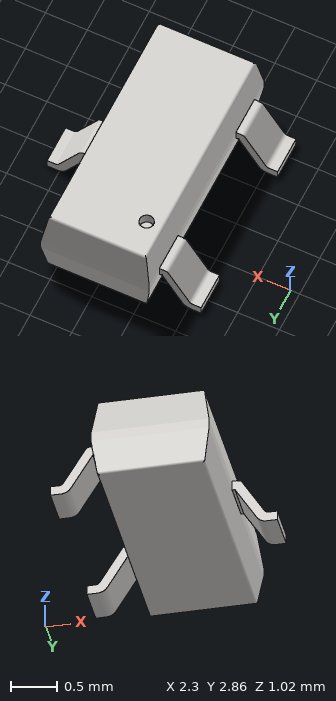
import cadquery as cq
import math

BODY_WIDTH = 1.3
BODY_LENGTH = 2.86
BODY_BOTTOM = 0.065
BODY_TOP = 1.02
UPPER_DRAFT = 8.5
LOWER_DRAFT = 8.8
TOP_FILLET = 0.035
BOTTOM_FILLET = 0.025

MARK_DIAMETER = 0.163
MARK_DEPTH = 0.143
MARK_X = -0.39

LEAD_SPAN = 2.3
LEAD_WIDTH = 0.46
LEAD_THICKNESS = 0.115
LEAD_TOP = 0.575
LEAD_OFFSET = 0.95
LEAD_SLOPE = 59.0
SHOULDER_LENGTH = 0.031
SHOULDER_RADIUS = 0.051
FOOT_INNER_RADIUS = 0.055
FOOT_OUTER_RADIUS = 0.13

BAND_TOP = LEAD_TOP
BAND_BOTTOM = LEAD_TOP - LEAD_THICKNESS


def body_rectangle(z):
    return cq.Workplane("XY", origin=(0, 0, z)).rect(BODY_WIDTH, BODY_LENGTH)


def make_body():
    """Band with tapered upper and lower halves, rounded rims and a blind pin 1 mark."""
    band = body_rectangle(BAND_BOTTOM).extrude(BAND_TOP - BAND_BOTTOM)
    upper = body_rectangle(BAND_TOP).extrude(BODY_TOP - BAND_TOP, taper=UPPER_DRAFT)
    lower = body_rectangle(BAND_BOTTOM).extrude(BODY_BOTTOM - BAND_BOTTOM, taper=LOWER_DRAFT)
    upper = upper.faces(">Z").edges().fillet(TOP_FILLET)
    lower = lower.faces("<Z").edges().fillet(BOTTOM_FILLET)
    mark = (
        cq.Workplane("XY", origin=(MARK_X, LEAD_OFFSET, BODY_TOP - MARK_DEPTH))
        .circle(MARK_DIAMETER / 2)
        .extrude(MARK_DEPTH)
    )
    return band.union(upper).union(lower).cut(mark)


def make_lead(y_center, angle):
    """Gull-wing lead pointing along +X, turned about Z by angle, then moved to y_center."""
    root_x = BODY_WIDTH / 2
    tip_x = LEAD_SPAN / 2
    corner_shift = LEAD_THICKNESS * math.tan(math.radians(LEAD_SLOPE / 2))
    slope_run = (LEAD_TOP - LEAD_THICKNESS) / math.tan(math.radians(LEAD_SLOPE))

    shoulder_lower = (root_x + SHOULDER_LENGTH, BAND_BOTTOM)
    shoulder_upper = (shoulder_lower[0] + corner_shift, LEAD_TOP)
    foot_upper = (shoulder_upper[0] + slope_run, LEAD_THICKNESS)
    foot_lower = (foot_upper[0] - corner_shift, 0)

    blank = (
        cq.Workplane("XZ")
        .polyline([
            (root_x, BAND_BOTTOM),
            shoulder_lower,
            foot_lower,
            (tip_x, 0),
            (tip_x, LEAD_THICKNESS),
            foot_upper,
            shoulder_upper,
            (root_x, LEAD_TOP),
        ])
        .close()
        .extrude(LEAD_WIDTH / 2, both=True)
    )
    bends = [
        (shoulder_upper, SHOULDER_RADIUS),
        (foot_upper, FOOT_INNER_RADIUS),
        (foot_lower, FOOT_OUTER_RADIUS),
    ]
    lead = blank
    for (x, z), radius in bends:
        lead = lead.edges(cq.selectors.NearestToPointSelector((x, 0, z))).fillet(radius)
    return lead.rotate((0, 0, 0), (0, 0, 1), angle).translate((0, y_center, 0))


LEAD_PLACES = [(-LEAD_OFFSET, 180), (LEAD_OFFSET, 180), (0, 0)]

body = make_body()
leads = [make_lead(y_center, angle) for y_center, angle in LEAD_PLACES]

result = cq.Compound.makeCompound([body.solids().val(), *[lead.solids().val() for lead in leads]])